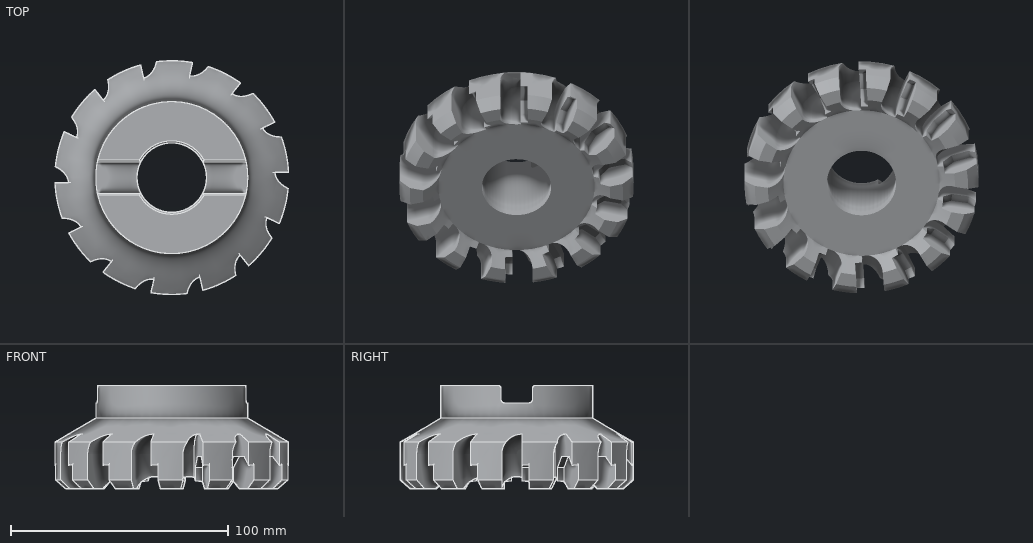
import cadquery as cq
import math

outer_radius = 53.9
hub_radius = 35.0
bore_radius = 16.0
total_height = 47.8
rim_top = 21.6
hub_bottom = 32.7
rim_chamfer_width = 4.7
rim_chamfer_height = 4.2
bore_chamfer = 1.0

recess_radius = 43.1
recess_depth = 5.6
recess_wall_angle = 38.0

key_width = 14.4
key_depth = 8.1
key_floor_fillet = 1.6
key_edge_chamfer = 0.9

tooth_count = 14
face_offset = 2.4
gullet_radius = 9.3
gullet_center_height = 16.0
gullet_floor_radius = 35.9
gullet_corner_radius = 7.0

seat_depth = 3.3
seat_inner_radius = 38.4
seat_outer_radius = 54.8
seat_top = 14.9
seat_bevel_width = 4.3
seat_bevel_height = 5.1

overshoot = 5.4


def make_body():
    """Revolved blank with the bore and the conical recess underneath."""
    recess_top_radius = recess_radius - recess_depth / math.tan(math.radians(recess_wall_angle))
    profile = [
        (bore_radius, recess_depth),
        (recess_top_radius, recess_depth),
        (recess_radius, 0),
        (outer_radius - rim_chamfer_width, 0),
        (outer_radius, rim_chamfer_height),
        (outer_radius, rim_top),
        (hub_radius, hub_bottom),
        (hub_radius, total_height),
        (bore_radius + bore_chamfer, total_height),
        (bore_radius, total_height - bore_chamfer),
    ]
    return cq.Workplane("XZ").polyline(profile).close().revolve(360, (0, 0, 0), (0, 1, 0))


def make_keyway():
    """Bar with rounded floor corners that flares at the top to chamfer the slot edges."""
    length = 2 * (hub_radius + overshoot)
    bar = (
        cq.Workplane("XY")
        .workplane(offset=total_height - key_depth)
        .rect(length, key_width)
        .extrude(key_depth)
        .edges("|X and <Z")
        .fillet(key_floor_fillet)
    )
    half_width = key_width / 2
    flare_profile = [
        (-half_width, total_height - key_edge_chamfer),
        (half_width, total_height - key_edge_chamfer),
        (half_width + key_edge_chamfer, total_height),
        (-half_width - key_edge_chamfer, total_height),
    ]
    flare = cq.Workplane("YZ").polyline(flare_profile).close().extrude(length / 2, both=True)
    return bar.union(flare)


def make_gullet():
    """Gullet beside the tooth face near +X: a straight run below and a quarter-turn end above."""
    far_end = outer_radius + overshoot
    tangent_radius = gullet_floor_radius + gullet_corner_radius
    nose_y = face_offset - (gullet_radius - gullet_corner_radius)
    flank_y = face_offset - gullet_radius
    arc_reach = gullet_corner_radius * math.sqrt(0.5)
    arc_middle = (tangent_radius - arc_reach, nose_y - arc_reach)
    section = (
        cq.Workplane("XY")
        .workplane(offset=gullet_center_height)
        .moveTo(gullet_floor_radius, face_offset)
        .lineTo(gullet_floor_radius, nose_y)
        .threePointArc(arc_middle, (tangent_radius, flank_y))
        .lineTo(far_end, flank_y)
        .lineTo(far_end, face_offset)
        .close()
    )
    run = section.extrude(-gullet_center_height - overshoot)
    rounded_end = section.toPending().revolve(90, (far_end, face_offset), (gullet_floor_radius, face_offset))
    return run.union(rounded_end)


def make_seat():
    """Insert seat behind the tooth face near +X, with bevelled upper corners."""
    bevel_bottom = seat_top - seat_bevel_height
    profile = [
        (seat_inner_radius, -overshoot),
        (seat_inner_radius, bevel_bottom),
        (seat_inner_radius + seat_bevel_width, seat_top),
        (seat_outer_radius - seat_bevel_width, seat_top),
        (seat_outer_radius, bevel_bottom),
        (seat_outer_radius, -overshoot),
    ]
    return (
        cq.Workplane("XZ", origin=(0, face_offset, 0))
        .polyline(profile)
        .close()
        .extrude(-seat_depth)
    )


result = make_body().cut(make_keyway())
tooth_gap = make_gullet().union(make_seat())
for tooth in range(tooth_count):
    angle = tooth * 360 / tooth_count
    result = result.cut(tooth_gap.rotate((0, 0, 0), (0, 0, 1), angle))